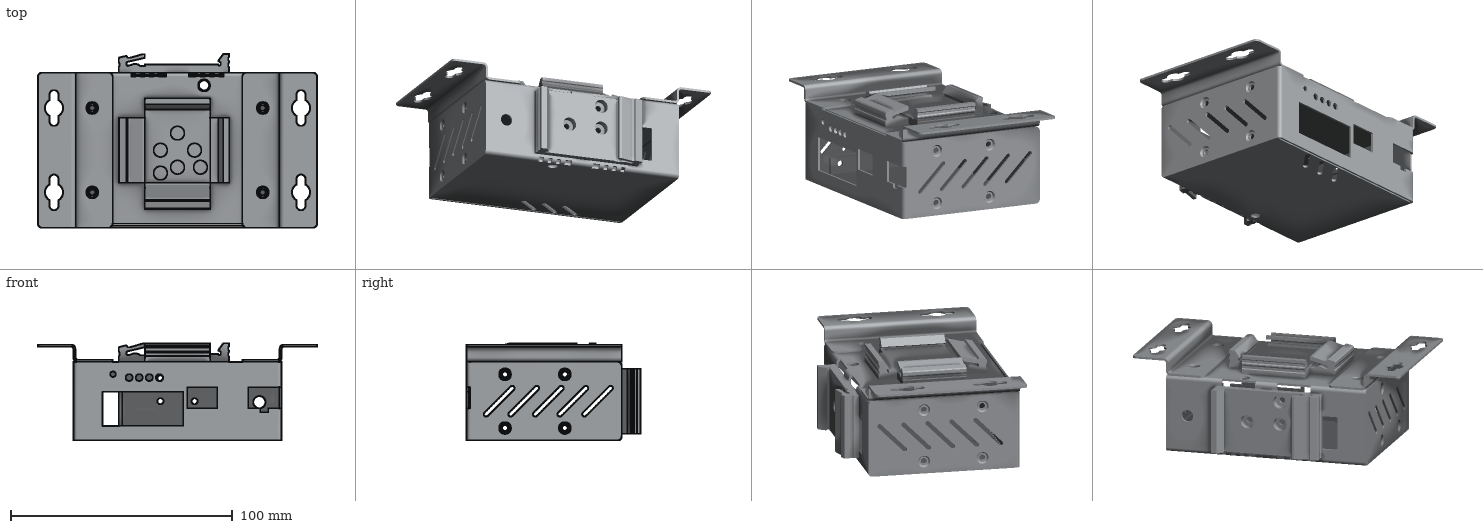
import cadquery as cq


sheet = 1.0
bend_radius = 1.8
box_width = 94.0
box_depth = 70.0
box_height = 35.4
cover_gap = bend_radius - sheet
mid_y = box_depth / 2
mid_z = box_height / 2

screw_hole = 2.6
screw_head = 5.4
screw_seat = 4.3

display_left = -33.8
display_right = 2.6
display_bottom = 6.5
display_top = 21.9
port_bottom = 14.5
port_top = 24.1
port_left = 4.3
port_right = 17.9
socket_left = 31.9
key_left = 37.3
key_right = 40.8
key_bottom = 12.7
button_hole = 2.5
button_x = -29.1
button_z = 29.9
led_hole = 3.2
led_first_x = -21.8
led_pitch = 4.5
led_count = 4
led_z = 28.4

vent_angle = 45
vent_width = 2.0
vent_length = 18.6
vent_count = 5
vent_pitch = 11.1
vent_mid_y = 36.9
floor_vent_width = 2.3
floor_vent_length = 14.5
floor_vent_count = 3
floor_vent_pitch = 10.0
floor_vent_mid_x = -9.0
floor_vent_y = 8.0

side_screw_rows = (17.4, 44.4)
side_screw_offset = 12.1
tab_height = 8.6
tab_margin = 5.0

terminal_width = 15.8
terminal_centers = (-13.0, 13.0)
terminal_depth = 4.0
tooth_width = 2.3
tooth_pitch = 4.2
tooth_centers = (-13.7, 13.5)
rear_opening_right = -24.8
jack_hole = 5.4
jack_x = 36.9
jack_z = 17.3
ground_hole = 5.4
ground_floor_hole = 4.5
ground_x = 12.0
ground_y = 64.3

bracket_span = 126.0
bracket_height = 7.8
bracket_inner_x = 29.2
bracket_bend_radius = 2.0
bracket_corner_radius = 2.0
keyhole_x = 55.7
keyhole_width = 4.0
keyhole_length = 16.0
keyhole_middle = 8.1
bracket_screw_x = 38.4
bracket_row_offset = 19.0

clip_width = 29.5
clip_half = clip_width / 2
clip_height = 8.5
clip_arm_end = -26.6
clip_hook_end = 23.3
clip_floor = 3.7
clip_low_floor = 3.0
hump_right = -16.9
hump_top = 3.9
slot_x = -22.4
slot_end_x = -23.0
slot_top = 4.8
arm_root_top = 6.7
arm_tip_bottom = 6.5
arm_tip_top = 8.3
lip_top_x = 20.7
lip_tip_x = 18.3
lip_tip_z = 5.2
undercut_x = 19.4
clip_lap = clip_floor / 2
side_groove = 0.4
clip_hole = 6.2
clip_hole_x = 7.7
clip_hole_y = -10.3
clip_holes = [(-clip_hole_x, 0), (clip_hole_x, 0), (-clip_hole_x, clip_hole_y)]


def block(x_range, y_range, z_range):
    """Box between the given limits."""
    (x0, x1), (y0, y1), (z0, z1) = x_range, y_range, z_range
    return cq.Workplane("XY").box(x1 - x0, y1 - y0, z1 - z0, centered=False).translate((x0, y0, z0))


def upright_cylinders(points, diameter, z0, z1):
    return cq.Workplane("XY", origin=(0, 0, z0)).pushPoints(points).circle(diameter / 2).extrude(z1 - z0)


def front_wall_cylinders(points, diameter):
    """Cylinders along Y through the front wall; points are (x, z)."""
    return cq.Workplane("XZ").pushPoints(points).circle(diameter / 2).extrude(-sheet)


def back_wall_cylinders(points, diameter):
    """Cylinders along Y through the back wall; points are (x, z)."""
    plane = cq.Workplane("XZ", origin=(0, box_depth, 0))
    return plane.pushPoints(points).circle(diameter / 2).extrude(sheet)


def countersink():
    """Cone that fills one sheet thickness below Z = 0, wide end up."""
    return cq.Workplane(cq.Solid.makeCone(screw_seat / 2, screw_head / 2, sheet, pnt=cq.Vector(0, 0, -sheet)))


def bent_channel(width, depth, height):
    """U-shaped sheet: web on XZ at Y = 0, flanges along +Y from X = -width/2 and width/2."""
    outer = cq.Workplane("XY").box(width, depth, height, centered=(True, False, False))
    outer = outer.edges("|Z and <Y").fillet(bend_radius)
    inner = cq.Workplane("XY").box(width - 2 * sheet, depth, height, centered=(True, False, False))
    inner = inner.edges("|Z and <Y").fillet(bend_radius - sheet)
    return outer.cut(inner.translate((0, sheet, 0)))


def side_screws():
    """Screw places (y, z) on a side wall."""
    levels = (mid_z - side_screw_offset, mid_z + side_screw_offset)
    return [(y, z) for y in side_screw_rows for z in levels]


def bracket_rows():
    """Y of the keyholes and screws of a bracket."""
    return (mid_y - bracket_row_offset, mid_y + bracket_row_offset)


def make_shell():
    shell = bent_channel(box_width, box_depth, box_height)
    shell = shell.edges("|X and >Y").fillet(bend_radius)

    wall = (0, sheet)
    shell = shell.cut(block((display_left, display_right), wall, (display_bottom, display_top)))
    shell = shell.cut(block((port_left, port_right), wall, (port_bottom, port_top)))
    shell = shell.cut(block((socket_left, box_width / 2), (0, bend_radius), (port_bottom, port_top)))
    shell = shell.cut(block((key_left, key_right), wall, (key_bottom, port_bottom)))

    leds = [(led_first_x + i * led_pitch, led_z) for i in range(led_count)]
    shell = shell.cut(front_wall_cylinders(leds, led_hole))
    shell = shell.cut(front_wall_cylinders([(button_x, button_z)], button_hole))

    vents = [(vent_mid_y + (i - (vent_count - 1) / 2) * vent_pitch, mid_z) for i in range(vent_count)]
    side_plane = cq.Workplane("YZ").pushPoints(vents)
    shell = shell.cut(side_plane.slot2D(vent_length, vent_width, vent_angle).extrude(box_width, both=True))
    for side in (-1, 1):
        cone = countersink().rotate((0, 0, 0), (0, 1, 0), side * 90)
        for y, z in side_screws():
            shell = shell.cut(cone.translate((side * box_width / 2, y, z)))
    return shell


def make_cover():
    length = box_depth - sheet - cover_gap
    cover_width = box_width - 2 * sheet
    cover = bent_channel(box_height, length, cover_width)
    cover = cover.rotate((0, 0, 0), (0, 0, 1), 180).rotate((0, 0, 0), (0, 1, 0), 90)
    cover = cover.translate((-cover_width / 2, box_depth, mid_z))

    tab_y = (min(side_screw_rows) - tab_margin, max(side_screw_rows) + tab_margin)
    for tab_x in ((-cover_width / 2, -cover_width / 2 + sheet), (cover_width / 2 - sheet, cover_width / 2)):
        for tab_z in ((0, tab_height), (box_height - tab_height, box_height)):
            cover = cover.union(block(tab_x, tab_y, tab_z))
    side_plane = cq.Workplane("YZ").pushPoints(side_screws())
    cover = cover.cut(side_plane.circle(screw_hole / 2).extrude(box_width, both=True))

    bend = (box_depth - bend_radius, box_depth)
    for center, tooth_center in zip(terminal_centers, tooth_centers):
        opening = (center - terminal_width / 2, center + terminal_width / 2)
        cover = cover.cut(block(opening, bend, (box_height - terminal_depth, box_height)))
        gaps = block(opening, bend, (0, bend_radius))
        for i in (-1, 0, 1):
            x = tooth_center + i * tooth_pitch
            gaps = gaps.cut(block((x - tooth_width / 2, x + tooth_width / 2), bend, (0, bend_radius)))
        cover = cover.cut(gaps)

    back = (box_depth - sheet, box_depth)
    cover = cover.cut(block((display_left, rear_opening_right), back, (display_bottom, display_top)))
    cover = cover.cut(back_wall_cylinders([(jack_x, jack_z)], jack_hole))
    cover = cover.cut(back_wall_cylinders([(x, mid_z - y) for x, y in clip_holes], screw_hole))

    ground = [(ground_x, ground_y)]
    cover = cover.cut(upright_cylinders(ground, ground_hole, mid_z, box_height))
    cover = cover.cut(upright_cylinders(ground, ground_floor_hole, 0, mid_z))
    screws = [(side * bracket_screw_x, y) for side in (-1, 1) for y in bracket_rows()]
    cover = cover.cut(upright_cylinders(screws, screw_hole, mid_z, box_height))

    first = floor_vent_mid_x - (floor_vent_count - 1) / 2 * floor_vent_pitch
    vents = [(first + i * floor_vent_pitch, floor_vent_y) for i in range(floor_vent_count)]
    floor = cq.Workplane("XY").pushPoints(vents)
    return cover.cut(floor.slot2D(floor_vent_length, floor_vent_width, vent_angle).extrude(sheet))


def make_bracket(side):
    """Z-shaped wall bracket on the top of the box; side is -1 (left) or 1 (right)."""
    outer_x = bracket_span / 2
    step_x = box_width / 2
    top = bracket_height
    outline = [
        (bracket_inner_x, 0), (step_x, 0), (step_x, top - sheet), (outer_x, top - sheet),
        (outer_x, top), (step_x - sheet, top), (step_x - sheet, sheet), (bracket_inner_x, sheet),
    ]
    body = cq.Workplane("XZ").polyline(outline).close().extrude(-box_depth)
    near = 0.1
    for x, z, radius in (
        (step_x, 0, bracket_bend_radius),
        (step_x - sheet, sheet, bracket_bend_radius - sheet),
        (step_x - sheet, top, bracket_bend_radius),
        (step_x, top - sheet, bracket_bend_radius - sheet),
    ):
        bend = cq.selectors.BoxSelector((x - near, -near, z - near), (x + near, box_depth + near, z + near))
        body = body.edges(bend).fillet(radius)
    body = body.edges("|Z and (<X or >X)").fillet(bracket_corner_radius)

    keyholes = [(keyhole_x, y) for y in bracket_rows()]
    plane = cq.Workplane("XY").pushPoints(keyholes)
    body = body.cut(plane.slot2D(keyhole_length, keyhole_width, 90).extrude(top))
    body = body.cut(upright_cylinders(keyholes, keyhole_middle, 0, top))
    for y in bracket_rows():
        body = body.cut(countersink().translate((bracket_screw_x, y, sheet)))
    if side < 0:
        body = body.mirror("YZ")
    return body.translate((0, 0, box_height))


def clip_blank():
    """Clip profile in XZ, extruded over the clip width; it stands on Z = 0."""
    arm_in = clip_arm_end + side_groove
    hook_in = clip_hook_end - side_groove
    hook_side = [
        (clip_hook_end, 0), (clip_hook_end, 2.4), (hook_in, 2.8), (hook_in, 3.9), (clip_hook_end, 4.5),
        (clip_hook_end, 5.0), (hook_in, 5.5), (hook_in, 6.7), (clip_hook_end, 7.0),
        (clip_hook_end, clip_height),
    ]
    hook_lip = [
        (lip_top_x, clip_height), (lip_tip_x, lip_tip_z), (undercut_x, 4.5), (undercut_x, 3.4),
        (18.6, clip_low_floor), (18.4, clip_floor),
    ]
    floor_step = [(-clip_half, clip_floor), (-clip_half, clip_low_floor), (hump_right, clip_low_floor)]
    spring_arm = [
        (-clip_half, arm_tip_bottom), (-clip_half, arm_tip_top), (-15.8, arm_tip_top),
        (-21.4, arm_root_top), (slot_x, arm_root_top), (-23.0, 7.5), (arm_in, 6.8),
    ]
    arm_side = [(clip_arm_end, 6.3), (clip_arm_end, 4.8), (arm_in, 4.0), (arm_in, 2.9), (clip_arm_end, 2.5)]

    outline = cq.Workplane("XZ", origin=(0, clip_half, 0)).moveTo(clip_arm_end, 0)
    for point in hook_side + hook_lip + floor_step:
        outline = outline.lineTo(*point)
    outline = outline.threePointArc((-18.8, hump_top), (-20.7, 3.5)).lineTo(slot_x, clip_low_floor)
    outline = outline.threePointArc((slot_end_x, 3.9), (slot_x, slot_top))
    for point in spring_arm + arm_side:
        outline = outline.lineTo(*point)
    return outline.close().extrude(clip_width)


def turned(points):
    """The points turned by 90 degrees about the origin."""
    return [(-y, x) for x, y in points]


stud_points = clip_holes + turned(clip_holes)
crossing = (-clip_half, clip_half)


def on_top(body):
    return body.translate((0, mid_y, box_height))


def make_lower_clip():
    clip = clip_blank().cut(block(crossing, crossing, (clip_lap, clip_floor)))
    return on_top(clip.union(upright_cylinders(stud_points, clip_hole, clip_lap / 2, clip_floor)))


def make_upper_clip():
    clip = clip_blank().rotate((0, 0, 0), (0, 0, 1), 90)
    clip = clip.cut(block(crossing, crossing, (0, clip_lap)))
    return on_top(clip.cut(upright_cylinders(stud_points, clip_hole, 0, clip_floor)))


def make_rear_clip():
    clip = clip_blank().cut(upright_cylinders(clip_holes, clip_hole, 0, clip_floor))
    return clip.rotate((0, 0, 0), (1, 0, 0), -90).translate((0, box_depth, mid_z))


shell = make_shell()
cover = make_cover()
brackets = [make_bracket(side) for side in (-1, 1)]
lower_clip = make_lower_clip()
upper_clip = make_upper_clip()
rear_clip = make_rear_clip()

result = cq.Compound.makeCompound([
    shell.val(),
    cover.val(),
    *[bracket.val() for bracket in brackets],
    lower_clip.val(),
    upper_clip.val(),
    rear_clip.val(),
])